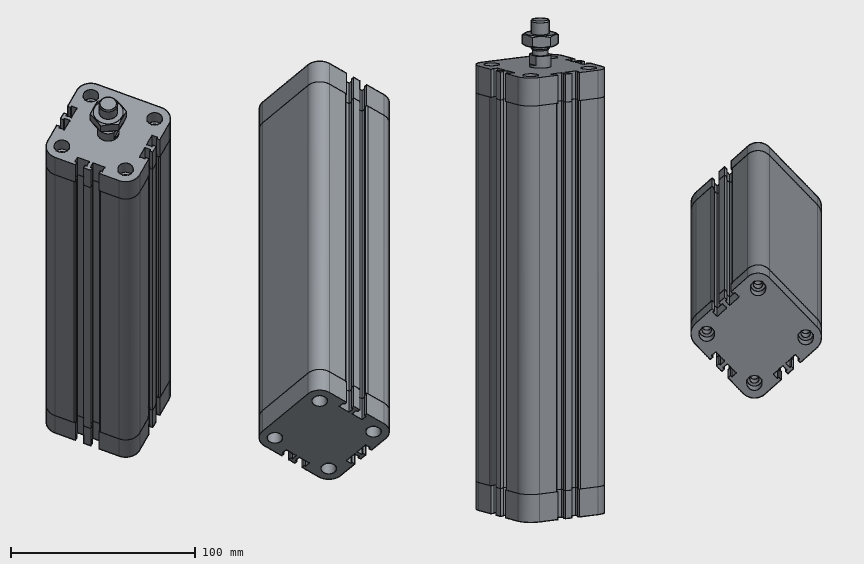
import cadquery as cq

total_height = 271.0
cap_height = 15.5
cap_top = 245.3
upper_joint = cap_top - cap_height

width = 55.0
half_width = width / 2
corner_radius = 8.5

slot_sides = (-90, 0, 90)
rib_half_width = 2.2
rib_waist_half_width = 1.0
slot_outer_edge = 7.0
undercut_outer_edge = 8.0
lip_thickness = 2.0
slot_depth = 5.1
mouth_chamfer = 0.8

hole_pitch = 38.0
hole_diameter = 5.1
counterbore_diameter = 8.5
counterbore_depth = 8.0

rod_diameter = 12.0
flat_width = 10.0
flat_clearance = 1.4
flat_bottom = cap_top + flat_clearance
shoulder_z = 251.8
neck_diameter = 8.7
thread_diameter = 10.0
thread_start = 254.5
thread_tip_diameter = 9.0
thread_bevel_height = 0.95

nut_width = 17.0
nut_bottom = 257.0
nut_thickness = 6.5
nut_face_diameter = 16.3
nut_chamfer_slope = 0.5


def slot_cutter(side, mirror, chamfered, bottom, height):
    """One T-slot of a pair, as a prism open at the outer face of the profile."""
    face_y = -half_width
    lip_y = face_y + lip_thickness
    floor_y = face_y + slot_depth
    points = [
        (rib_half_width, face_y),
        (rib_half_width, lip_y),
        (rib_waist_half_width, lip_y),
        (rib_waist_half_width, floor_y),
        (undercut_outer_edge, floor_y),
        (undercut_outer_edge, lip_y),
        (slot_outer_edge, lip_y),
    ]
    if chamfered:
        points += [
            (slot_outer_edge, face_y + mouth_chamfer),
            (slot_outer_edge + mouth_chamfer, face_y),
        ]
    else:
        points.append((slot_outer_edge, face_y))
    outline = [(mirror * x, y) for x, y in points]
    prism = cq.Workplane("XY").workplane(offset=bottom).polyline(outline).close().extrude(height)
    return prism.rotate((0, 0, 0), (0, 0, 1), side)


def profile_block(bottom, height, chamfered=False):
    """Slotted square bar with rounded corners and four through screw holes."""
    block = (
        cq.Workplane("XY")
        .workplane(offset=bottom)
        .rect(width, width)
        .extrude(height)
        .edges("|Z")
        .fillet(corner_radius)
    )
    for side in slot_sides:
        for mirror in (-1, 1):
            block = block.cut(slot_cutter(side, mirror, chamfered, bottom, height))
    return block.cut(corner_cylinders(hole_diameter, bottom, height))


def corner_cylinders(diameter, bottom, height):
    """Four upright cylinders on the screw hole pattern."""
    return (
        cq.Workplane("XY")
        .workplane(offset=bottom)
        .rect(hole_pitch, hole_pitch, forConstruction=True)
        .vertices()
        .circle(diameter / 2)
        .extrude(height)
    )


def make_rear_cap():
    cap = profile_block(0, cap_height)
    return cap.cut(corner_cylinders(counterbore_diameter, 0, counterbore_depth))


def make_tube():
    return profile_block(cap_height, upper_joint - cap_height, chamfered=True)


def make_front_cap():
    cap = profile_block(upper_joint, cap_height)
    cap = cap.cut(corner_cylinders(counterbore_diameter, cap_top - counterbore_depth, counterbore_depth))
    rod_bore = cq.Workplane("XY").workplane(offset=upper_joint).circle(rod_diameter / 2).extrude(cap_height)
    return cap.cut(rod_bore)


def make_rod():
    """Rod through the front cap, with wrench flats, a neck and a thread bevelled at both ends."""
    rod_radius = rod_diameter / 2
    neck_radius = neck_diameter / 2
    thread_radius = thread_diameter / 2
    rod = (
        cq.Workplane("XZ")
        .polyline([
            (0, upper_joint),
            (rod_radius, upper_joint),
            (rod_radius, shoulder_z),
            (neck_radius, shoulder_z),
            (neck_radius, thread_start),
            (thread_radius, thread_start + thread_bevel_height),
            (thread_radius, total_height - thread_bevel_height),
            (thread_tip_diameter / 2, total_height),
            (0, total_height),
        ])
        .close()
        .revolve(360, (0, 0), (0, 1))
    )
    flat_height = shoulder_z - flat_bottom
    flats = (
        cq.Workplane("XY")
        .workplane(offset=flat_bottom)
        .rect(rod_diameter * 2, rod_diameter * 2)
        .rect(flat_width, rod_diameter * 2)
        .extrude(flat_height)
    )
    return rod.cut(flats)


def make_nut():
    """Hexagon nut with flats facing +X and -X and conical chamfers at both ends."""
    nut = (
        cq.Workplane("XY")
        .workplane(offset=nut_bottom)
        .polygon(6, nut_width, circumscribed=True)
        .extrude(nut_thickness)
    )
    face_radius = nut_face_diameter / 2
    cone_radius = nut_width
    drop = (cone_radius - face_radius) * nut_chamfer_slope
    nut_top = nut_bottom + nut_thickness
    chamfer_envelope = (
        cq.Workplane("XZ")
        .polyline([
            (0, nut_bottom),
            (face_radius, nut_bottom),
            (cone_radius, nut_bottom + drop),
            (cone_radius, nut_top - drop),
            (face_radius, nut_top),
            (0, nut_top),
        ])
        .close()
        .revolve(360, (0, 0), (0, 1))
    )
    bore = cq.Workplane("XY").workplane(offset=nut_bottom).circle(thread_diameter / 2).extrude(nut_thickness)
    return nut.intersect(chamfer_envelope).cut(bore)


rear_cap = make_rear_cap()
tube = make_tube()
front_cap = make_front_cap()
rod = make_rod()
nut = make_nut()

result = cq.Compound.makeCompound([rear_cap.val(), tube.val(), front_cap.val(), rod.val(), nut.val()])